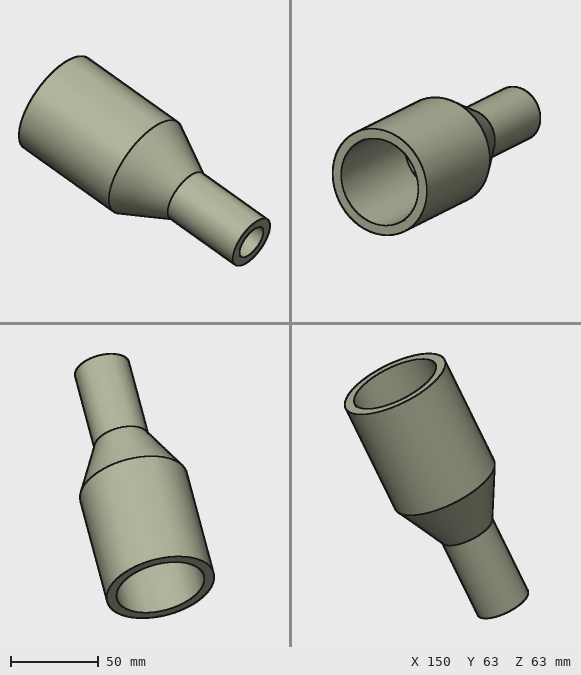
import cadquery as cq

total_length = 150.0
large_length = 69.0
small_length = 50.0
large_outer_diameter = 63.0
large_bore_diameter = 51.5
small_outer_diameter = 32.0
small_bore_diameter = 20.4

cone_end = total_length - small_length


def stepped_solid(large_diameter, small_diameter):
    """Solid of revolution: large cylinder, cone, then small cylinder."""
    large_radius = large_diameter / 2
    small_radius = small_diameter / 2
    return (
        cq.Workplane("XY")
        .moveTo(0, 0)
        .lineTo(0, large_radius)
        .lineTo(large_length, large_radius)
        .lineTo(cone_end, small_radius)
        .lineTo(total_length, small_radius)
        .lineTo(total_length, 0)
        .close()
        .revolve(360, (0, 0, 0), (1, 0, 0))
    )


outer_body = stepped_solid(large_outer_diameter, small_outer_diameter)

bore = stepped_solid(large_bore_diameter, small_bore_diameter)

result = outer_body.cut(bore)